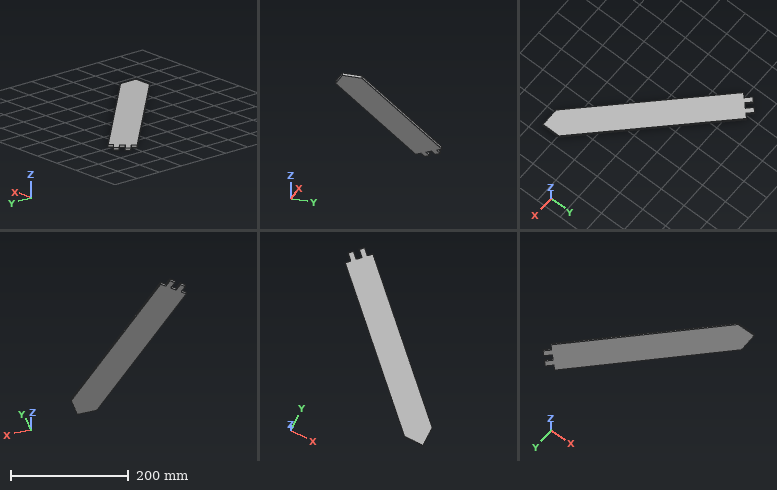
import cadquery as cq
import math

overall_size = 266.3
thickness = 4.8
board_width = 50.0
tenon_length = 15.0
tenon_count = 2

division_count = 2 * tenon_count + 1
tenon_width = board_width / division_count
tenon_pitch = 2 * tenon_width

half_width = board_width / 2
outer_tenon_edge = half_width - tenon_width
board_length = overall_size * math.sqrt(2) - outer_tenon_edge
shoulder_x = tenon_length - board_length
board_angle = -45.0


def make_board():
    """Board along X with its 90 degree point at the origin."""
    outline = [
        (0, 0),
        (-half_width, half_width),
        (shoulder_x, half_width),
        (shoulder_x, -half_width),
        (-half_width, -half_width),
    ]
    return cq.Workplane("XY").polyline(outline).close().extrude(thickness)


def make_tenon(center_y):
    """Full-thickness tenon projecting from the shoulder, rooted in the board."""
    root_depth = tenon_width
    return (
        cq.Workplane("XY")
        .box(tenon_length + root_depth, tenon_width, thickness, centered=(False, True, False))
        .translate((-board_length, center_y, 0))
    )


board = make_board()
for index in range(tenon_count):
    tenon_y = (index - (tenon_count - 1) / 2) * tenon_pitch
    board = board.union(make_tenon(tenon_y))

result = board.rotate((0, 0, 0), (0, 0, 1), board_angle)